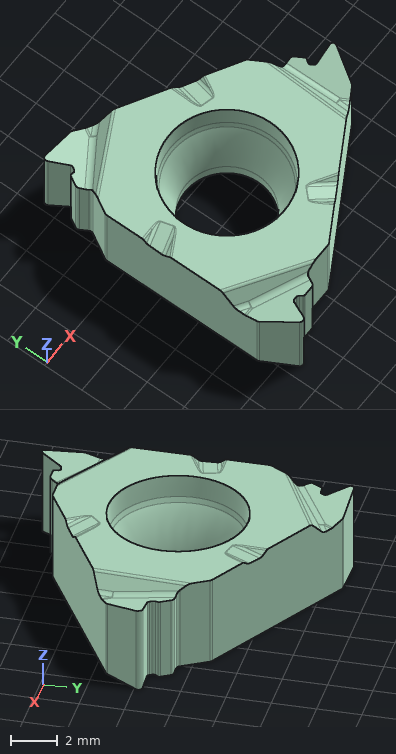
import cadquery as cq
import math

CORNER_STEP = 120
CORNER_ANGLES = (0, CORNER_STEP, 2 * CORNER_STEP)

thickness = 4.11
inscribed_radius = 9.525 / 2
relief_y = -5.59
side_blend = 0.25

left_flank_angle = math.radians(61.3)
right_flank_angle = math.radians(62.5)
tip_radius = 0.18
tip_x = -3.745
tip_y = -6.738
root_y = -5.895
root_width = 0.29
land_y = -6.16
land_end_x = -2.02
land_slope = math.radians(60)
root_blend = 0.14
land_start_blend = 0.1
land_end_blend = 0.2

chip_tilt = 15.0
chip_depth_at_tip = 0.12
wall_slope = 50.0
wall_angle = -32.5
wall_edge_x = -inscribed_radius
wall_edge_y = -3.295
wall_foot_radius = 0.35
wall_rim_radius = 0.2
chip_depth_limit = 0.75

notch_end_x = -3.53
notch_end_y = 0.565
notch_heading = 15.0
notch_ramp = 10.0
notch_floor_width = 0.82
notch_wall_slope = math.radians(36)
notch_floor_blend = 0.3
notch_rim_blend = 0.15
notch_wall_height = 1.0
notch_zone = 1.5
notch_length = 3.0

hole_radius = 4.4 / 2
recess_radius = 3.08
recess_foot_radius = 3.01
recess_depth = 1.0
seat_radius = 3.8
seat_angle = math.radians(36)
seat_blend_height = 0.25

REACH = 8.0
TOLERANCE = 0.01


def line_through(point, angle):
    """A line in the XY plane as a point and a heading."""
    return point, (math.cos(angle), math.sin(angle))


def crossing(first, second):
    """Point where two lines meet."""
    (x1, y1), (dx1, dy1) = first
    (x2, y2), (dx2, dy2) = second
    along = ((x2 - x1) * dy2 - (y2 - y1) * dx2) / (dx1 * dy2 - dy1 * dx2)
    return (x1 + along * dx1, y1 + along * dy1)


def level(y):
    """Line parallel to X at the given height."""
    return line_through((0, y), 0)


def rotate_point(point, degrees):
    """Turn a point about the hole axis."""
    turn = math.radians(degrees)
    x, y = point
    return (x * math.cos(turn) - y * math.sin(turn), x * math.sin(turn) + y * math.cos(turn))


def tooth_flank(angle):
    """Flank line at the given heading, tangent to the lower side of the tip round."""
    offset_x = tip_radius * math.sin(angle)
    offset_y = -tip_radius * math.cos(angle)
    return line_through((tip_x + offset_x, tip_y + offset_y), angle)


def corner_points():
    """Sharp outline points of the lower-left corner, each with its rounding radius."""
    left_side = line_through((-inscribed_radius, 0), math.pi / 2)
    next_side_middle = rotate_point((-inscribed_radius, 0), CORNER_STEP)
    next_side = line_through(next_side_middle, math.radians(CORNER_STEP - 90))
    left_flank = tooth_flank(-left_flank_angle)
    right_flank = tooth_flank(right_flank_angle)
    root_start = crossing(right_flank, level(root_y))
    root_end = (root_start[0] + root_width, root_y)
    land_start = crossing(line_through(root_end, -right_flank_angle), level(land_y))
    land_end = (land_end_x, land_y)
    relief_start = crossing(line_through(land_end, land_slope), level(relief_y))
    return [
        (crossing(left_side, left_flank), side_blend),
        (crossing(left_flank, right_flank), tip_radius),
        (root_start, root_blend),
        (root_end, root_blend),
        (land_start, land_start_blend),
        (land_end, land_end_blend),
        (relief_start, land_end_blend),
        (crossing(level(relief_y), next_side), side_blend),
    ]


def make_body():
    """Upright prism of the full outline with its vertical edges rounded."""
    corner = corner_points()
    outline = [rotate_point(point, angle) for angle in CORNER_ANGLES for point, _ in corner]
    body = cq.Workplane("XY").polyline(outline).close().extrude(thickness)
    for point, radius in corner:
        for angle in CORNER_ANGLES:
            x, y = rotate_point(point, angle)
            edge = cq.selectors.NearestToPointSelector((x, y, thickness / 2))
            body = body.edges("|Z").edges(edge).fillet(radius)
    return body


def make_wall_cutter():
    """Space beyond the sloping wall, with the rim of the wall rounded over into the top face."""
    slope = math.radians(wall_slope)
    rim_tangent = wall_rim_radius * math.tan(slope / 2)
    rim_mid = (
        -rim_tangent + wall_rim_radius * math.sin(slope / 2),
        -wall_rim_radius * (1 - math.cos(slope / 2)),
    )
    rim_end = (rim_tangent * math.cos(slope), -rim_tangent * math.sin(slope))
    foot_x = thickness / math.tan(slope)
    heading = math.radians(wall_angle)
    section = cq.Plane(
        origin=(wall_edge_x, wall_edge_y, thickness),
        xDir=(math.sin(heading), -math.cos(heading), 0),
        normal=(-math.cos(heading), -math.sin(heading), 0),
    )
    return (
        cq.Workplane(section)
        .moveTo(-rim_tangent, 0)
        .threePointArc(rim_mid, rim_end)
        .lineTo(foot_x, -thickness)
        .lineTo(REACH, -thickness)
        .lineTo(REACH, 0)
        .close()
        .extrude(REACH, both=True)
    )


def ends_at(edge, point):
    """Whether one end of the edge lies on the point."""
    return any((vertex.Center() - point).Length < TOLERANCE for vertex in edge.Vertices())


def make_chip_cutter():
    """Everything removed above the chip face of the lower-left corner."""
    above_chip_face = (
        cq.Workplane("XY")
        .box(4 * REACH, 4 * REACH, REACH, centered=(True, True, False))
        .rotate((0, 0, 0), (1, 0, 0), -chip_tilt)
        .translate((tip_x, tip_y - tip_radius, thickness - chip_depth_at_tip))
    )
    above_depth_limit = (
        cq.Workplane("XY")
        .workplane(offset=thickness - chip_depth_limit)
        .rect(4 * REACH, 4 * REACH)
        .extrude(REACH)
    )
    cutter = make_wall_cutter().intersect(above_chip_face).intersect(above_depth_limit)

    fall = math.tan(math.radians(chip_tilt))
    corner_y = tip_y - tip_radius + (chip_depth_limit - chip_depth_at_tip) / fall
    wall_run = chip_depth_limit / math.tan(math.radians(wall_slope))
    heading = math.radians(wall_angle)
    corner_x = wall_edge_x + (
        (corner_y - wall_edge_y) * math.cos(heading) + wall_run
    ) / math.sin(heading)
    corner = cq.Vector(corner_x, corner_y, thickness - chip_depth_limit)
    meeting_edges = [edge for edge in cutter.edges().vals() if ends_at(edge, corner)]
    return cutter.newObject(meeting_edges).fillet(wall_foot_radius)


def make_notch_cutter():
    """Ramped trapezoidal notch on the left side, running out to nothing at its inner end."""
    half_floor = notch_floor_width / 2
    half_mouth = half_floor + notch_wall_height / math.tan(notch_wall_slope)
    section = cq.Plane(origin=(0, 0, 0), xDir=(0, -1, 0), normal=(-1, 0, 0))
    return (
        cq.Workplane(section)
        .moveTo(-half_floor, 0)
        .lineTo(half_floor, 0)
        .lineTo(half_mouth, notch_wall_height)
        .lineTo(-half_mouth, notch_wall_height)
        .close()
        .extrude(notch_length)
        .edges("|X and <Z")
        .fillet(notch_floor_blend)
        .rotate((0, 0, 0), (0, 1, 0), -notch_ramp)
        .rotate((0, 0, 0), (0, 0, 1), notch_heading)
        .translate((notch_end_x, notch_end_y, thickness))
    )


def add_notch(body):
    """Cut the left side's notch and round its rim at the top face."""
    body = body.cut(make_notch_cutter())
    rim = cq.selectors.BoxSelector(
        (-inscribed_radius + TOLERANCE, notch_end_y - notch_zone, thickness - TOLERANCE),
        (notch_end_x + TOLERANCE, notch_end_y + notch_zone, thickness + TOLERANCE),
    )
    return body.edges(rim).fillet(notch_rim_blend)


def make_hole_cutter():
    """Screw hole with a shallow recess above a seat that rounds over into the bore."""
    recess_floor = thickness - recess_depth
    seat_top = recess_floor - seat_blend_height
    seat_bottom = seat_top - seat_radius * math.sin(seat_angle)
    seat_centre = hole_radius + seat_radius
    seat_top_radius = seat_centre - seat_radius * math.cos(seat_angle)
    seat_mid = (
        seat_centre - seat_radius * math.cos(seat_angle / 2),
        seat_bottom + seat_radius * math.sin(seat_angle / 2),
    )
    return (
        cq.Workplane("XZ")
        .lineTo(hole_radius, 0)
        .lineTo(hole_radius, seat_bottom)
        .threePointArc(seat_mid, (seat_top_radius, seat_top))
        .lineTo(recess_foot_radius, recess_floor)
        .lineTo(recess_radius, thickness)
        .lineTo(0, thickness)
        .close()
        .revolve(360, (0, 0, 0), (0, 1, 0))
    )


body = make_body()
chip_cutter = make_chip_cutter()
for corner_angle in CORNER_ANGLES:
    body = body.cut(chip_cutter.rotate((0, 0, 0), (0, 0, 1), corner_angle))

for _ in CORNER_ANGLES:
    body = add_notch(body).rotate((0, 0, 0), (0, 0, 1), CORNER_STEP)

result = body.cut(make_hole_cutter())